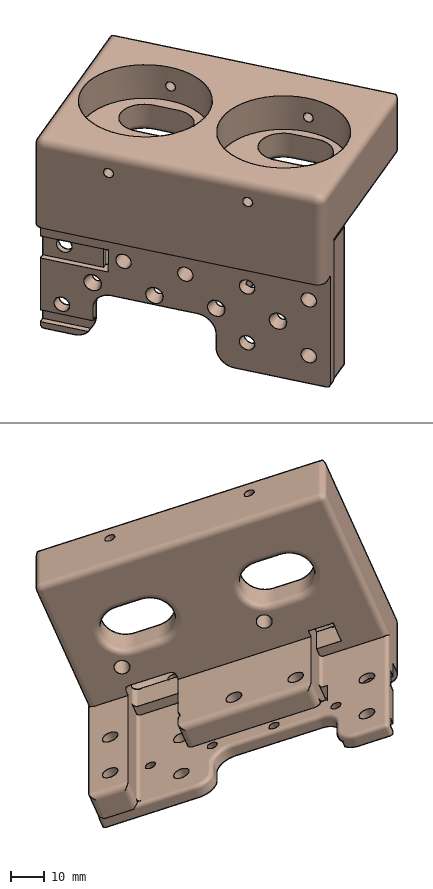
import cadquery as cq
import math

width = 94.0
depth = 64.0
height = 71.5

head_bottom_z = 50.0
front_lip_bottom_z = 39.95
head_radius = 3.0
back_radius = 2.0

plate_front_y = 6.0
plate_thickness = 4.0
plate_back_y = plate_front_y + plate_thickness
plate_corner_radius = 1.2
plate_edge_radius = 1.2

notch_left = 17.0
notch_right = 57.0
notch_top_z = 16.7
notch_radius = 6.0

pad_back_y = 18.0
pad_edge_radius = 2.0
pad_root_radius = 1.0
pad_overlap = 0.9
left_pad_start = 22.0
left_pad_end = 65.05
left_pad_bottom_z = 22.8
right_pad_start = 81.2

channel_depth = 2.0
strap_bottom_z = 25.0
strap_top_z = 32.9
strap_slot_start = 19.7
lower_channel_bottom_z = 2.2
lower_channel_top_z = 6.4

hole_pitch = 20.0
mount_count = 5
screw_count = mount_count - 1
mount_hole_diameter = 5.0
mount_upper_z = 30.0
mount_lower_z = 10.0
screw_z = 20.0
screw_head_diameter = 5.6
screw_diameter = 3.2

socket_diameter = 40.5
socket_depth = 12.0
left_socket = (24.1, 31.9)
right_socket = (69.4, 30.6)
port_offset = 22.6
port_y = 40.3
port_length = 23.3
port_width = 15.4
port_rim_radius = 2.0
pin_diameter = 4.8
pin_y = 28.1
left_pin_x = 33.3
right_pin_x = 79.3
cable_front_y = 13.3
left_cable_start = 14.0
left_cable_back_y = 20.1
right_cable_back_y = 21.15
right_cable_radius = 1.5
set_screw_diameter = 3.2
set_screw_z = 64.7

socket_floor_z = height - socket_depth

pick_margin = 0.5


def box_between(low, high):
    """Axis-aligned box spanning two opposite corners."""
    size = [b - a for a, b in zip(low, high)]
    return cq.Workplane("XY").box(*size, centered=False).translate(low)


def hole_along_y(x, z, diameter):
    """Round cutter through the full depth of the part."""
    return cq.Workplane("XZ", origin=(x, 0, z)).circle(diameter / 2).extrude(-depth)


def make_head():
    """Head block with a lip hanging down in front of the plate."""
    block = box_between((0, 0, head_bottom_z), (width, depth, height))
    block = block.edges(">Y or (<Z and |Y)").fillet(back_radius)
    lip = box_between((0, 0, front_lip_bottom_z), (width, plate_front_y, height))
    envelope = box_between((0, 0, front_lip_bottom_z), (width, depth + head_radius, height))
    envelope = envelope.edges("(<Y and |Z) or (>Z and |Y) or (<Y and >Z)").fillet(head_radius)
    return block.union(lip).intersect(envelope)


def make_plate():
    """Notched mounting plate with its outline rounded on the back."""
    plate_top_z = head_bottom_z + back_radius
    plate = box_between((0, plate_front_y, 0), (width, plate_back_y, plate_top_z))
    plate = plate.cut(box_between((notch_left, 0, 0), (notch_right, depth, notch_top_z)))
    plate = plate.edges("|Y and <Z and (<X or >X)").fillet(plate_corner_radius)
    around_notch = cq.selectors.BoxSelector(
        (notch_left - pick_margin, 0, -pick_margin),
        (notch_right + pick_margin, depth, notch_top_z + pick_margin),
    )
    plate = plate.edges("|Y").edges(around_notch).fillet(notch_radius)
    return plate.edges(">Y").edges("not >Z").fillet(plate_edge_radius)


def make_pad(start_x, end_x, bottom_z):
    """Pad on the back of the plate, rounded underneath and blended in at its left root."""
    top_z = head_bottom_z + pad_overlap
    pad = box_between((start_x, plate_back_y - pad_overlap, bottom_z), (end_x, pad_back_y, top_z))
    pad = pad.edges("<Z and (|Y or >Y)").fillet(pad_edge_radius)
    root = (
        cq.Workplane("XY", origin=(start_x, plate_back_y, bottom_z + pad_edge_radius))
        .lineTo(0, pad_root_radius)
        .radiusArc((-pad_root_radius, 0), pad_root_radius)
        .close()
        .extrude(top_z - bottom_z - pad_edge_radius)
    )
    return pad.union(root)


def make_strap_channels():
    """Cutters for the upper channel with its through slot and for the lower channel."""
    channel_back_y = plate_front_y + channel_depth
    upper = box_between((0, 0, strap_bottom_z), (left_pad_start, channel_back_y, strap_top_z))
    slot = box_between((strap_slot_start, 0, strap_bottom_z), (left_pad_start, depth, strap_top_z))
    lower = box_between((0, 0, lower_channel_bottom_z), (notch_left, channel_back_y, lower_channel_top_z))
    return upper.union(slot).union(lower)


def make_screw_hole(x):
    """Tapered cutter that narrows from the front of the plate to its back."""
    return (
        cq.Workplane("XZ", origin=(x, plate_front_y, screw_z))
        .circle(screw_head_diameter / 2)
        .workplane(offset=-plate_thickness)
        .circle(screw_diameter / 2)
        .loft()
    )


def make_socket(center, pin_x):
    """Cutter for a round socket, the oval port and pin hole in its floor and its set screw holes."""
    center_x, center_y = center
    port_x = width / 2 + math.copysign(port_offset, center_x - width / 2)
    floor = cq.Workplane("XY", origin=(0, 0, socket_floor_z))
    socket = floor.center(center_x, center_y).circle(socket_diameter / 2).extrude(socket_depth)
    port = floor.center(port_x, port_y).slot2D(port_length, port_width).extrude(-socket_floor_z)
    pin = floor.center(pin_x, pin_y).circle(pin_diameter / 2).extrude(-socket_floor_z)
    set_screws = hole_along_y(port_x, set_screw_z, set_screw_diameter)
    return socket.union(port).union(pin).union(set_screws)


def round_port_rims(solid):
    """Round the lower rims of both oval ports where they leave the underside of the head."""
    rim_depth = port_width / 2 + pick_margin
    around_rims = cq.selectors.BoxSelector(
        (width / 2 - port_offset - port_length, port_y - rim_depth, head_bottom_z - pick_margin),
        (width / 2 + port_offset + port_length, port_y + rim_depth, head_bottom_z + pick_margin),
        boundingbox=True,
    )
    return solid.edges(around_rims).fillet(port_rim_radius)


body = make_head().union(make_plate())
body = body.union(make_pad(left_pad_start, left_pad_end, left_pad_bottom_z))
body = body.union(make_pad(right_pad_start, width, 0))

body = body.cut(make_socket(left_socket, left_pin_x))
body = body.cut(make_socket(right_socket, right_pin_x))
body = round_port_rims(body)
left_cable = box_between(
    (left_cable_start, cable_front_y, 0), (left_pad_start, left_cable_back_y, socket_floor_z)
)
right_cable = box_between(
    (left_pad_end, cable_front_y, 0), (right_pad_start, right_cable_back_y, socket_floor_z)
)
body = body.cut(left_cable).cut(right_cable.edges("|Z").fillet(right_cable_radius))

body = body.cut(make_strap_channels())
for step in range(mount_count):
    mount_x = width / 2 + (step - (mount_count - 1) / 2) * hole_pitch
    body = body.cut(hole_along_y(mount_x, mount_upper_z, mount_hole_diameter))
    if not notch_left < mount_x < notch_right:
        body = body.cut(hole_along_y(mount_x, mount_lower_z, mount_hole_diameter))
for step in range(screw_count):
    screw_x = width / 2 + (step - (screw_count - 1) / 2) * hole_pitch
    body = body.cut(make_screw_hole(screw_x))

result = body